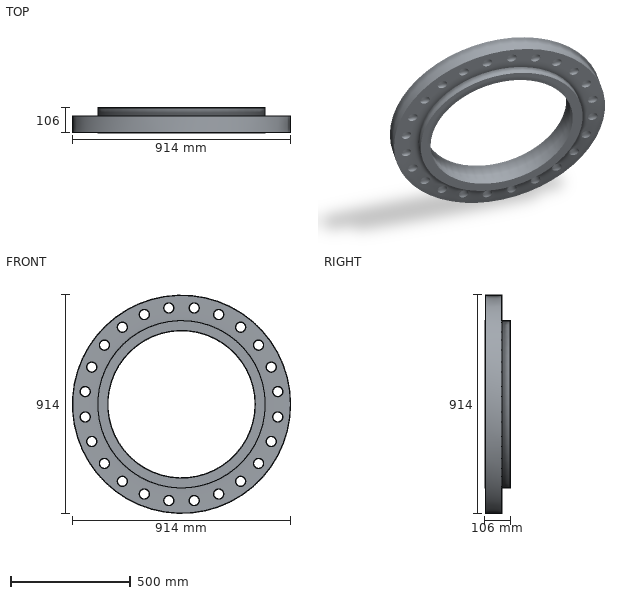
import cadquery as cq

flange_diameter = 914.0
collar_diameter = 701.0
bore_diameter = 616.0
total_length = 106.0
flange_thickness = 69.5
raised_face_height = 2.0

bolt_hole_diameter = 41.0
bolt_circle_diameter = 814.0
bolt_count = 24
bolt_pitch_angle = 360.0 / bolt_count
first_bolt_angle = bolt_pitch_angle / 2

raised_face_front = -(flange_thickness + raised_face_height)


def disc(diameter, start_y, length):
    """Solid disc on the Y axis, running toward +Y from start_y."""
    plane = cq.Plane(origin=(0, start_y, 0), xDir=(1, 0, 0), normal=(0, 1, 0))
    return cq.Workplane(plane).circle(diameter / 2).extrude(length)


def bolt_holes():
    """Through holes spaced evenly, straddling the X and Z axes."""
    plane = cq.Plane(origin=(0, -flange_thickness, 0), xDir=(1, 0, 0), normal=(0, 1, 0))
    return (
        cq.Workplane(plane)
        .polarArray(bolt_circle_diameter / 2, first_bolt_angle, 360, bolt_count)
        .circle(bolt_hole_diameter / 2)
        .extrude(flange_thickness)
    )


flange = disc(flange_diameter, -flange_thickness, flange_thickness)
collar = disc(collar_diameter, raised_face_front, total_length)
bore = disc(bore_diameter, raised_face_front, total_length)

result = flange.union(collar).cut(bore).cut(bolt_holes())